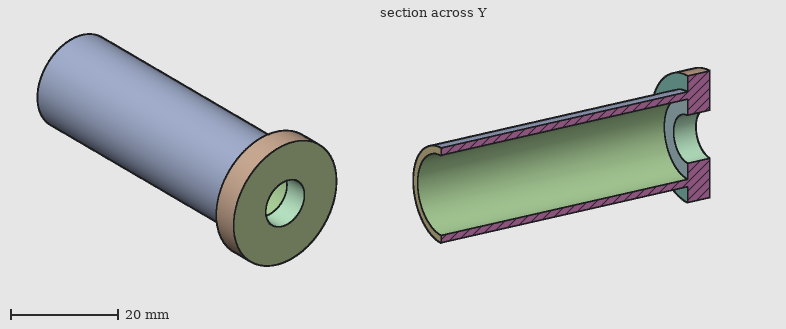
import cadquery as cq

overall_length = 60.0
flange_thickness = 5.0
flange_diameter = 25.4
tube_diameter = 19.05
bore_diameter = 15.92
end_hole_diameter = 9.53

tube_length = overall_length - flange_thickness
bore_depth = tube_length


def cylinder_along_x(diameter, start_x, length):
    """Solid cylinder centred on the X axis, running from start_x toward +X."""
    return cq.Workplane("YZ", origin=(start_x, 0, 0)).circle(diameter / 2).extrude(length)


tube = cylinder_along_x(tube_diameter, 0, tube_length)
flange = cylinder_along_x(flange_diameter, tube_length, flange_thickness)
bore = cylinder_along_x(bore_diameter, 0, bore_depth)
end_hole = cylinder_along_x(end_hole_diameter, 0, overall_length)

result = tube.union(flange).cut(bore).cut(end_hole)